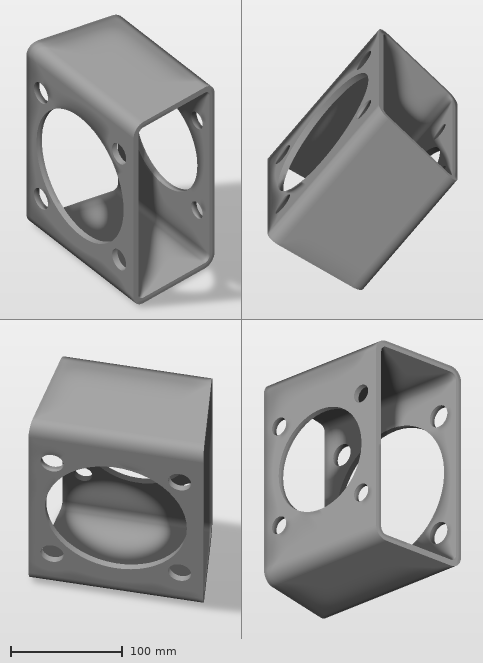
import cadquery as cq
import math

front_width = 160.0
depth = 100.0
height = 200.0
wall = 6.0
outer_radius = 12.0
inner_radius = outer_radius - wall
miter_angle = 7.0
end_inset = depth * math.tan(math.radians(miter_angle))

front_bore = 130.0
front_hole = 21.0
front_hole_spacing = 116.8
back_bore = 100.0
back_hole = 17.0
back_hole_spacing = 99.0

front_y = -depth / 2
back_y = depth / 2


def rounded_bar(bar_depth, bar_height, radius):
    """Solid bar along X with its four long edges rounded."""
    return cq.Workplane("XY").box(front_width, bar_depth, bar_height).edges("|X").fillet(radius)


def wall_cutters(outside_y, inward, bore, hole, hole_spacing):
    """Cylinders for the bore and its square pattern of holes through one wall."""
    plane = cq.Workplane("XZ", origin=(0, outside_y, 0))
    cut_depth = -inward * 2 * wall
    bore_cutter = plane.circle(bore / 2).extrude(cut_depth)
    hole_cutters = plane.rect(hole_spacing, hole_spacing, forConstruction=True)
    hole_cutters = hole_cutters.vertices().circle(hole / 2).extrude(cut_depth)
    return bore_cutter.union(hole_cutters)


tube = rounded_bar(depth, height, outer_radius)
tube = tube.cut(rounded_bar(depth - 2 * wall, height - 2 * wall, inner_radius))

miter_outline = (
    cq.Workplane("XY")
    .polyline([
        (-front_width / 2, front_y),
        (front_width / 2, front_y),
        (front_width / 2 - end_inset, back_y),
        (-front_width / 2 + end_inset, back_y),
    ])
    .close()
    .extrude(height / 2, both=True)
)
result = tube.intersect(miter_outline)

result = result.cut(wall_cutters(front_y, 1, front_bore, front_hole, front_hole_spacing))
result = result.cut(wall_cutters(back_y, -1, back_bore, back_hole, back_hole_spacing))